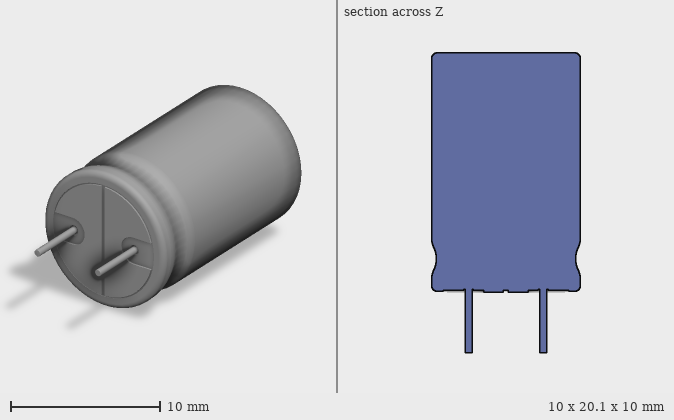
import cadquery as cq
import math

can_radius = 5.0
can_length = 16.0
can_edge_radius = 0.4

groove_center = 2.2
groove_depth = 0.32
groove_hollow_half_width = 0.76
shoulder_width = 0.6

seal_radius = 8.35 / 2
seal_recess = 0.07
pad_clearance = 0.1
pad_radius = seal_radius - pad_clearance
pad_top_above_rim = 0.07
pad_top_y = -pad_top_above_rim
pad_gap = 0.3
notch_width = 2.0

lead_spacing = 5.0
lead_radius = 0.5 / 2
lead_length_from_rim = 4.1
lead_tip_radius = 0.05
lead_hole_mouth_radius = 0.73 / 2
lead_hole_bottom_radius = 0.57 / 2
lead_hole_depth = lead_hole_mouth_radius - lead_hole_bottom_radius
lead_hole_bottom_y = seal_recess + lead_hole_depth


def make_can():
    """Revolve the half profile of the can, solid inside, about Y."""
    groove_half_width = groove_hollow_half_width + shoulder_width
    slope = 2 * math.atan(groove_depth / groove_half_width)
    hollow_arc_radius = groove_hollow_half_width / math.sin(slope)
    shoulder_arc_radius = shoulder_width / math.sin(slope)
    groove_radius = can_radius - groove_depth
    meeting_radius = groove_radius + hollow_arc_radius * (1 - math.cos(slope))
    shoulder_mid_radius = can_radius - shoulder_arc_radius * (1 - math.cos(slope / 2))
    shoulder_mid_offset = groove_half_width - shoulder_arc_radius * math.sin(slope / 2)

    edge_center_radius = can_radius - can_edge_radius
    edge_diagonal = can_edge_radius * math.sqrt(0.5)
    far_edge_y = can_length - can_edge_radius

    profile = (
        cq.Workplane("XY")
        .moveTo(0, 0)
        .lineTo(edge_center_radius, 0)
        .threePointArc(
            (edge_center_radius + edge_diagonal, can_edge_radius - edge_diagonal),
            (can_radius, can_edge_radius),
        )
        .lineTo(can_radius, groove_center - groove_half_width)
        .threePointArc(
            (shoulder_mid_radius, groove_center - shoulder_mid_offset),
            (meeting_radius, groove_center - groove_hollow_half_width),
        )
        .threePointArc(
            (groove_radius, groove_center),
            (meeting_radius, groove_center + groove_hollow_half_width),
        )
        .threePointArc(
            (shoulder_mid_radius, groove_center + shoulder_mid_offset),
            (can_radius, groove_center + groove_half_width),
        )
        .lineTo(can_radius, far_edge_y)
        .threePointArc(
            (edge_center_radius + edge_diagonal, far_edge_y + edge_diagonal),
            (edge_center_radius, can_length),
        )
        .lineTo(0, can_length)
        .close()
    )
    return profile.revolve(360, (0, 0, 0), (0, 1, 0))


def cylinder_along_y(x, radius, y_start, y_end):
    """Round bar centered at (x, z = 0) running from y_start to y_end."""
    plane = cq.Workplane("XZ", origin=(x, y_start, 0))
    return plane.circle(radius).extrude(y_start - y_end)


def make_pads():
    """Disc split by a straight gap, with a round-ended notch round each lead."""
    cut_height = seal_recess + pad_top_above_rim
    cut_center_y = (seal_recess + pad_top_y) / 2
    pads = cylinder_along_y(0, pad_radius, seal_recess, pad_top_y)
    gap = cq.Workplane("XY").box(pad_gap, cut_height, 2 * can_radius).translate((0, cut_center_y, 0))
    pads = pads.cut(gap)
    for side in (-1, 1):
        lead_x = side * lead_spacing / 2
        notch_end = cylinder_along_y(lead_x, notch_width / 2, seal_recess, pad_top_y)
        notch_run = (
            cq.Workplane("XY")
            .box(can_radius, cut_height, notch_width)
            .translate((lead_x + side * can_radius / 2, cut_center_y, 0))
        )
        pads = pads.cut(notch_end).cut(notch_run)
    return pads


def make_lead_hole(x):
    """Funnel narrowing from the seal floor into the seal."""
    return (
        cq.Workplane("XZ", origin=(x, seal_recess, 0))
        .circle(lead_hole_mouth_radius)
        .workplane(offset=-lead_hole_depth)
        .circle(lead_hole_bottom_radius)
        .loft(ruled=True)
    )


def make_lead(x):
    """Straight round lead from the bottom of its hole to a rounded tip."""
    lead = cylinder_along_y(x, lead_radius, lead_hole_bottom_y, -lead_length_from_rim)
    return lead.faces("<Y").edges().fillet(lead_tip_radius)


seal_pocket = cylinder_along_y(0, seal_radius, 0, seal_recess)
result = make_can().cut(seal_pocket).union(make_pads())
for lead_x in (-lead_spacing / 2, lead_spacing / 2):
    result = result.cut(make_lead_hole(lead_x)).union(make_lead(lead_x))